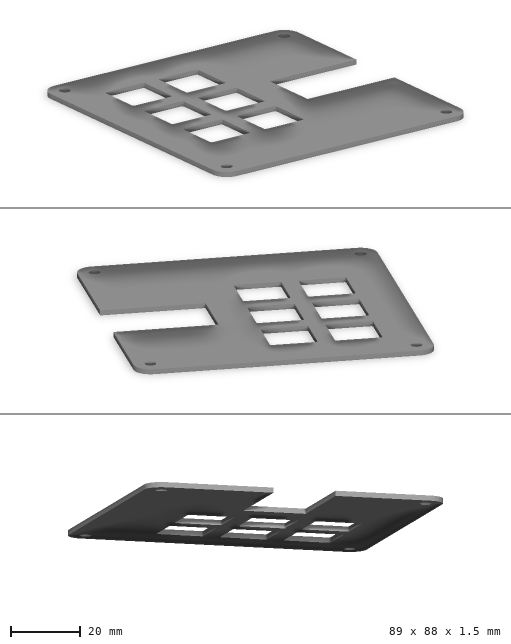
import cadquery as cq

plate_width = 89.0
plate_depth = 88.0
plate_thickness = 1.5
corner_radius = 5.0

mount_hole_diameter = 3.4
mount_spacing_x = plate_width - 2 * corner_radius
mount_spacing_y = plate_depth - 2 * corner_radius

notch_width = 18.6
notch_depth = 30.9
notch_center_x = -1.9

key_columns = 3
key_rows = 2
key_pitch = 19.05
key_opening = 14.0
key_corner_radius = 0.5
key_grid_center = (-5.25, -14.3)


def make_plate():
    plate = cq.Workplane("XY").box(
        plate_width, plate_depth, plate_thickness, centered=(True, True, False)
    )
    return plate.edges("|Z").fillet(corner_radius)


def make_mount_holes():
    return (
        cq.Workplane("XY")
        .rarray(mount_spacing_x, mount_spacing_y, 2, 2)
        .circle(mount_hole_diameter / 2)
        .extrude(plate_thickness)
    )


def make_notch():
    notch_center_y = plate_depth / 2 - notch_depth / 2
    return (
        cq.Workplane("XY")
        .center(notch_center_x, notch_center_y)
        .rect(notch_width, notch_depth)
        .extrude(plate_thickness)
    )


def make_key_openings():
    return (
        cq.Workplane("XY")
        .center(*key_grid_center)
        .rarray(key_pitch, key_pitch, key_columns, key_rows)
        .rect(key_opening, key_opening)
        .extrude(plate_thickness)
        .edges("|Z")
        .fillet(key_corner_radius)
    )


result = make_plate().cut(make_mount_holes()).cut(make_notch()).cut(make_key_openings())